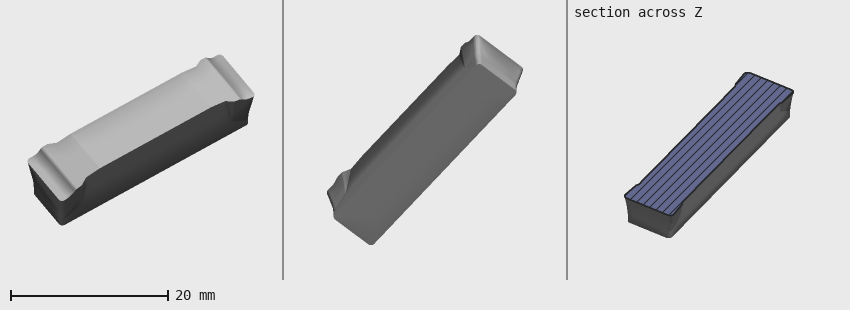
import cadquery as cq
import math

length = 29.99
height = 8.08
core_width = 6.6
head_width = 8.0

tip_height = 6.46
foot_height = 2.25
end_relief_angle = math.radians(7.2)
end_blend_radius = 4.5
corner_radius = 0.55

land_length = 0.92
land_rise = 0.08
groove_end = 2.2
groove_end_height = 7.27
groove_sag = 0.17
crown_end = 2.47
crown_end_height = 7.45
crown_sag = 0.02
flat_start = 6.43

side_relief_angle = math.radians(7)
back_taper_angle = math.radians(4.6)
neck_start = 3.25
neck_angle = math.radians(31)
neck_blend_radius = 0.3
front_overrun = 1.0

half_length = length / 2


def arc_middle(start, end, sag):
    """Middle point of an arc, offset by sag to the right of the direction of travel."""
    run = end[0] - start[0]
    rise = end[1] - start[1]
    chord = math.hypot(run, rise)
    middle_y = (start[0] + end[0]) / 2 + sag * rise / chord
    middle_z = (start[1] + end[1]) / 2 - sag * run / chord
    return middle_y, middle_z


def half_profile():
    """The -Y half of the end and top outline, extruded past both sides of the part."""
    blend_top_inset = end_blend_radius * (1 - math.cos(end_relief_angle))
    blend_top = foot_height + end_blend_radius * math.sin(end_relief_angle)
    blend_y = -half_length + (tip_height - blend_top) * math.tan(end_relief_angle)
    foot_y = blend_y + blend_top_inset
    half_angle = end_relief_angle / 2
    blend_middle = (
        foot_y - end_blend_radius * (1 - math.cos(half_angle)),
        foot_height + end_blend_radius * math.sin(half_angle),
    )

    land_end = (-half_length + land_length, tip_height + land_rise)
    groove_top = (-half_length + groove_end, groove_end_height)
    crown_top = (-half_length + crown_end, crown_end_height)

    return (
        cq.Workplane("YZ")
        .moveTo(0, 0)
        .lineTo(foot_y, 0)
        .lineTo(foot_y, foot_height)
        .threePointArc(blend_middle, (blend_y, blend_top))
        .lineTo(-half_length, tip_height)
        .lineTo(*land_end)
        .threePointArc(arc_middle(land_end, groove_top, groove_sag), groove_top)
        .threePointArc(arc_middle(groove_top, crown_top, -crown_sag), crown_top)
        .lineTo(-half_length + flat_start, height)
        .lineTo(0, height)
        .close()
        .extrude(head_width, both=True)
    )


def upright_edges(body, y_min, y_max, side):
    """Edges of one side (+1 or -1) that are centred between two Y values and below the cutting edge."""
    margin = 0.02
    x_near = side * core_width / 4
    x_far = side * head_width
    zone = cq.selectors.BoxSelector((x_near, y_min, margin), (x_far, y_max, tip_height - margin))
    return body.edges(zone)


def round_end_corners(body):
    """Round the upright corners where the end face meets the two sides."""
    for side in (-1, 1):
        corner = upright_edges(body, -half_length, -half_length + corner_radius, side)
        body = corner.fillet(corner_radius)
    return body


def blend_neck(flare):
    """Soften the upright edges where each flank turns into the neck."""
    neck_y = -half_length + neck_start
    for side in (-1, 1):
        neck_edge = upright_edges(flare, neck_y - neck_blend_radius, neck_y + neck_blend_radius, side)
        flare = neck_edge.fillet(neck_blend_radius)
    return flare


def half_core_body():
    """Half of the straight core with its rounded end corners."""
    slab = cq.Workplane("XY").box(core_width, length, height, centered=(True, True, False))
    return round_end_corners(half_profile().intersect(slab))


def head_plan(z):
    """Corner points of the head at height z."""
    front_y = -half_length - front_overrun
    neck_y = -half_length + neck_start
    inner_x = core_width / 4

    widest_y = -half_length + corner_radius
    widest_z = tip_height + land_rise * corner_radius / land_length
    widest_x = head_width / 2 + (z - widest_z) * math.tan(side_relief_angle)
    front_x = widest_x + (widest_y - front_y) * math.tan(back_taper_angle)
    neck_x = widest_x - (neck_y - widest_y) * math.tan(back_taper_angle)
    inner_y = neck_y + (neck_x - inner_x) / math.tan(neck_angle)
    right_side = [(front_x, front_y), (neck_x, neck_y), (inner_x, inner_y)]
    left_side = [(-x, y) for x, y in reversed(right_side)]
    return right_side + left_side


def head_body():
    """Flared head at the -Y end, trimmed to the end and top outline."""
    flare = (
        cq.Workplane("XY")
        .polyline(head_plan(0))
        .close()
        .workplane(offset=height)
        .polyline(head_plan(height))
        .close()
        .loft(ruled=True)
    )
    return round_end_corners(half_profile().intersect(blend_neck(flare)))


half = half_core_body().union(head_body())
result = half.union(half.mirror("XZ"))